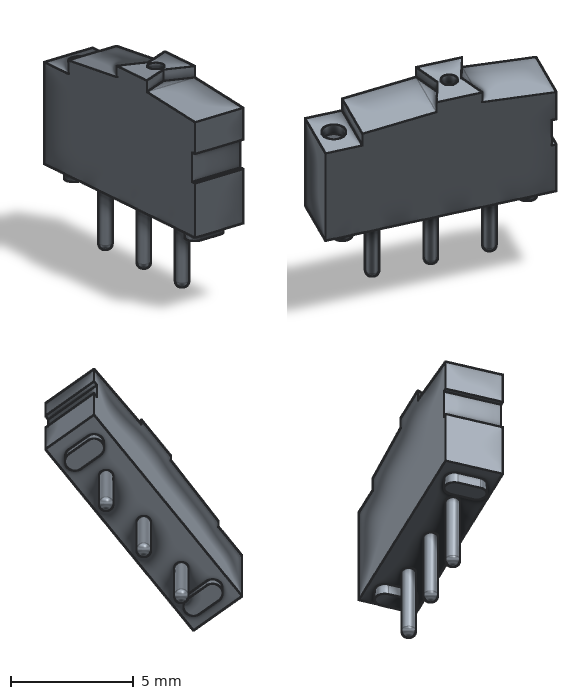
import cadquery as cq

body_length = 10.0
body_width = 2.5
body_height = 4.5
body_end = body_length / 2

notch_depth = 0.2
notch_bottom = 2.4
notch_height = 1.3

ledge_length = 1.6
ledge_hole_diameter = 1.0
ledge_hole_depth = 0.5

cover_length = body_length - ledge_length
cover_center = body_end - cover_length / 2
cover_edge_height = 0.6
cover_ridge_height = 0.9
grip_length = 2.0
grip_height = 0.5
grip_v_depth = 0.5
grip_hole_diameter = 0.7
grip_hole_depth = 0.5

pin_count = 3
pin_pitch = 2.54
pin_diameter = 0.6
pin_length = 3.3

foot_spacing = 8.0
foot_width = 0.82
foot_length = 1.8
foot_height = 0.5

ridge_z = body_height + cover_ridge_height
grip_top_z = ridge_z + grip_height


def make_body():
    block = cq.Workplane("XY").box(body_length, body_width, body_height, centered=(True, True, False))
    notch = (
        cq.Workplane("XY")
        .box(notch_depth, body_width, notch_height, centered=(False, True, False))
        .translate((body_end - notch_depth, 0, notch_bottom))
    )
    return block.cut(notch)


def make_cover():
    half_cover = cover_length / 2
    half_grip = grip_length / 2
    edge_z = body_height + cover_edge_height
    profile = [
        (cover_center - half_cover, body_height),
        (cover_center - half_cover, edge_z),
        (cover_center - half_grip, ridge_z),
        (cover_center + half_grip, ridge_z),
        (cover_center + half_cover, edge_z),
        (cover_center + half_cover, body_height),
    ]
    return cq.Workplane("XZ").polyline(profile).close().extrude(body_width / 2, both=True)


def make_grip():
    """Block whose two X ends are hollowed by a V running across the width."""
    half_length = grip_length / 2
    half_width = body_width / 2
    waist = half_length - grip_v_depth
    outline = [
        (-half_length, -half_width),
        (half_length, -half_width),
        (waist, 0),
        (half_length, half_width),
        (-half_length, half_width),
        (-waist, 0),
    ]
    grip = cq.Workplane("XY").polyline(outline).close().extrude(grip_height)
    return grip.translate((cover_center, 0, ridge_z))


def make_blind_hole(x, top_z, diameter, depth):
    hole = cq.Workplane("XY").circle(diameter / 2).extrude(-depth)
    return hole.translate((x, 0, top_z))


def make_pin(x):
    radius = pin_diameter / 2
    shank_length = pin_length - radius
    shank = cq.Workplane("XY").circle(radius).extrude(-shank_length)
    tip = cq.Workplane("XY").sphere(radius).translate((0, 0, -shank_length))
    return shank.union(tip).translate((x, 0, 0))


def make_foot(x):
    foot = cq.Workplane("XY").slot2D(foot_length, foot_width, 90).extrude(-foot_height)
    return foot.translate((x, 0, 0))


result = make_body().union(make_cover()).union(make_grip())

ledge_center = -body_end + ledge_length / 2
result = result.cut(make_blind_hole(ledge_center, body_height, ledge_hole_diameter, ledge_hole_depth))
result = result.cut(make_blind_hole(cover_center, grip_top_z, grip_hole_diameter, grip_hole_depth))

for index in range(pin_count):
    result = result.union(make_pin((index - (pin_count - 1) / 2) * pin_pitch))

for side in (-1, 1):
    result = result.union(make_foot(side * foot_spacing / 2))